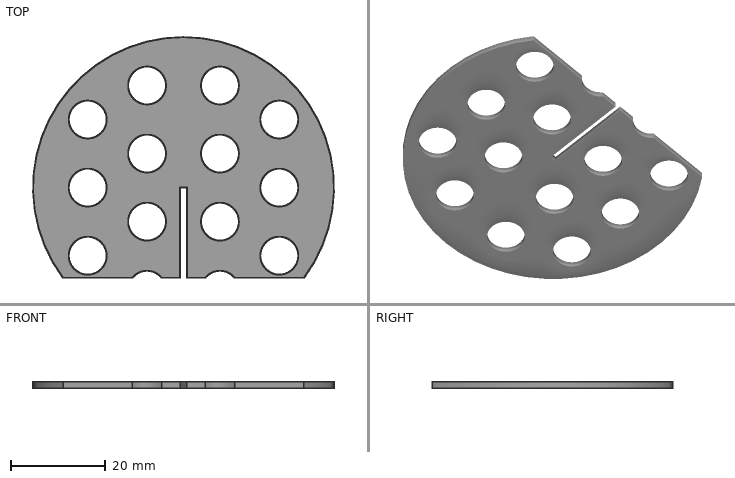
import cadquery as cq

disc_radius = 32.0
thickness = 1.5
flat_edge_y = -19.2
hole_diameter = 8.0
row_pitch = 14.45
inner_column_x = 7.75
outer_column_x = 20.35
slot_width = 1.5

inner_rows = [-1.5, -0.5, 0.5, 1.5]
outer_rows = [-1, 0, 1]


def column_pair(column_x, rows):
    """Hole centres in two columns mirrored about the Y axis."""
    return [(side * column_x, row * row_pitch) for side in (-1, 1) for row in rows]


def truncated_disc():
    """Disc with its -Y side cut off by the straight edge."""
    disc = cq.Workplane("XY").circle(disc_radius).extrude(thickness)
    kept_length = disc_radius - flat_edge_y
    kept_area = (
        cq.Workplane("XY")
        .center(0, flat_edge_y + kept_length / 2)
        .rect(2 * disc_radius, kept_length)
        .extrude(thickness)
    )
    return disc.intersect(kept_area)


def through_holes():
    """Round cutters; the lowest inner ones only nick the straight edge."""
    centres = column_pair(inner_column_x, inner_rows) + column_pair(outer_column_x, outer_rows)
    return cq.Workplane("XY").pushPoints(centres).circle(hole_diameter / 2).extrude(thickness)


def centre_slot():
    """Slot cutter from the straight edge to the disc centre."""
    return (
        cq.Workplane("XY")
        .center(0, flat_edge_y / 2)
        .rect(slot_width, -flat_edge_y)
        .extrude(thickness)
    )


result = truncated_disc().cut(through_holes()).cut(centre_slot())